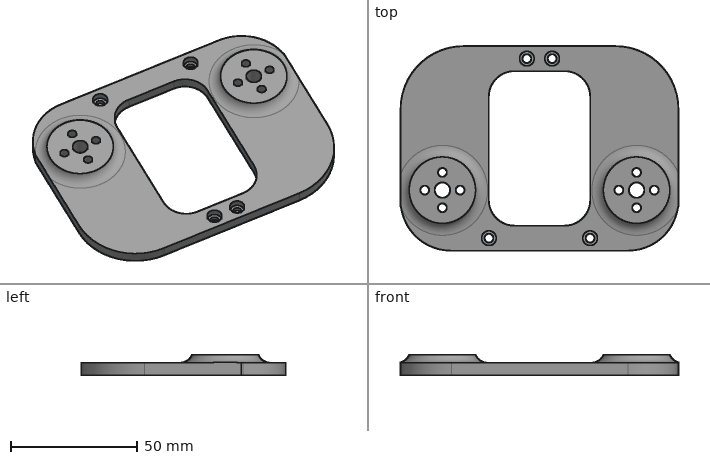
import cadquery as cq
import math

plate_width = 110.0
plate_depth = 81.0
plate_thickness = 5.0
front_corner_radius = 20.0
rear_corner_radius = 25.0

window_width = 40.0
window_depth = 61.0
window_corner_radius = 10.0
window_front_margin = 10.0

hub_spacing = 76.8
hub_y = 24.0
hub_height = 3.2
hub_flare_radius = 5.0
hub_base_radius = 17.8
hub_bore_diameter = 6.0
hub_screw_diameter = 3.4
hub_screw_circle_radius = 7.0
hub_screw_count = 4

mount_diameter = 3.4
counterbore_diameter = 5.8
counterbore_depth = 3.0
rail_width_front = window_front_margin
rail_width_rear = plate_depth - window_front_margin - window_depth
front_mount_spacing = window_width
rear_mount_spacing = 10.0

half_width = plate_width / 2
total_height = plate_thickness + hub_height
hub_centers = [(side * hub_spacing / 2, hub_y) for side in (-1, 1)]
front_mounts = [(side * front_mount_spacing / 2, rail_width_front / 2) for side in (-1, 1)]
rear_mounts = [(side * rear_mount_spacing / 2, plate_depth - rail_width_rear / 2) for side in (-1, 1)]


def make_plate():
    """Plate with larger rounded corners at the rear than at the front."""
    plate = cq.Workplane("XY").box(plate_width, plate_depth, plate_thickness, centered=(True, False, False))
    plate = plate.edges("|Z and <Y").fillet(front_corner_radius)
    return plate.edges("|Z and >Y").fillet(rear_corner_radius)


def make_window():
    """Rounded rectangular opening through the plate."""
    window = cq.Workplane("XY").box(window_width, window_depth, plate_thickness, centered=(True, False, False))
    window = window.edges("|Z").fillet(window_corner_radius)
    return window.translate((0, window_front_margin, 0))


def flare_point(drop_angle):
    """Radius and height on the flare arc, at an angle measured up from its lowest point."""
    radius = hub_base_radius - hub_flare_radius * math.sin(drop_angle)
    height = plate_thickness + hub_flare_radius * (1 - math.cos(drop_angle))
    return radius, height


def make_hub(center):
    """Solid of revolution with a concave flare, trimmed flush with the plate sides."""
    top_angle = math.acos(1 - hub_height / hub_flare_radius)
    hub = (
        cq.Workplane("XZ")
        .lineTo(hub_base_radius, 0)
        .lineTo(hub_base_radius, plate_thickness)
        .threePointArc(flare_point(top_angle / 2), flare_point(top_angle))
        .lineTo(0, total_height)
        .close()
        .revolve(360, (0, 0, 0), (0, 1, 0))
        .translate((*center, 0))
    )
    side_limits = cq.Workplane("XY").box(plate_width, plate_depth, total_height, centered=(True, False, False))
    return hub.intersect(side_limits)


def make_hub_holes(center):
    """Central bore and the ring of screw holes around it."""
    base = cq.Workplane("XY").center(*center)
    bore = base.circle(hub_bore_diameter / 2).extrude(total_height)
    screws = (
        base.polarArray(hub_screw_circle_radius, 0, 360, hub_screw_count)
        .circle(hub_screw_diameter / 2)
        .extrude(total_height)
    )
    return bore.union(screws)


def cut_mounting_holes(body):
    """Through holes counterbored from the top face of the plate."""
    return (
        body.copyWorkplane(cq.Workplane("XY", origin=(0, 0, plate_thickness)))
        .pushPoints(front_mounts + rear_mounts)
        .cboreHole(mount_diameter, counterbore_diameter, counterbore_depth)
    )


result = make_plate()
for hub_center in hub_centers:
    result = result.union(make_hub(hub_center))
result = result.cut(make_window())
for hub_center in hub_centers:
    result = result.cut(make_hub_holes(hub_center))
result = cut_mounting_holes(result)